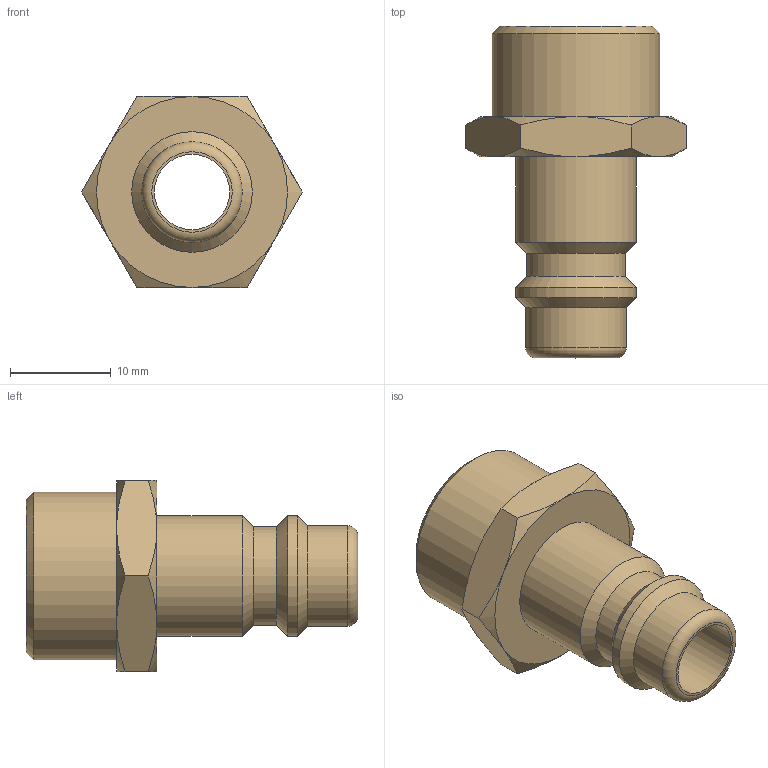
import cadquery as cq
import math

COLLAR_START = 5.0
COLLAR_RIM_START = 6.0
COLLAR_RIM_END = 7.0
NECK_START = 8.1
NECK_END = 10.4
BODY_START = 11.5
HEX_START = 20.0
HEX_THICKNESS = 4.0
HEX_END = HEX_START + HEX_THICKNESS
TOTAL_LENGTH = 33.0

TIP_RADIUS = 5.0
NECK_RADIUS = 4.9
BODY_RADIUS = 6.0
THREAD_RADIUS = 8.33
BORE_RADIUS = 3.75

HEX_SIDES = 6
HEX_ACROSS_FLATS = 19.0
HEX_CHAMFER_ANGLE = 30.0
TIP_FILLET = 1.0
THREAD_CHAMFER = 0.75


def turned_profile():
    """Half section of the nipple and the threaded end, revolved about Y."""
    arc_offset = TIP_FILLET * (1 - math.cos(math.pi / 4))
    return (
        cq.Workplane("XY")
        .moveTo(0, 0)
        .lineTo(TIP_RADIUS - TIP_FILLET, 0)
        .threePointArc((TIP_RADIUS - arc_offset, arc_offset), (TIP_RADIUS, TIP_FILLET))
        .lineTo(TIP_RADIUS, COLLAR_START)
        .lineTo(BODY_RADIUS, COLLAR_RIM_START)
        .lineTo(BODY_RADIUS, COLLAR_RIM_END)
        .lineTo(NECK_RADIUS, NECK_START)
        .lineTo(NECK_RADIUS, NECK_END)
        .lineTo(BODY_RADIUS, BODY_START)
        .lineTo(BODY_RADIUS, HEX_END)
        .lineTo(THREAD_RADIUS, HEX_END)
        .lineTo(THREAD_RADIUS, TOTAL_LENGTH - THREAD_CHAMFER)
        .lineTo(THREAD_RADIUS - THREAD_CHAMFER, TOTAL_LENGTH)
        .lineTo(0, TOTAL_LENGTH)
        .close()
        .revolve(360, (0, 0, 0), (0, 1, 0))
    )


def chamfered_hexagon():
    """Hexagon with flats facing +Z and -Z, its corners turned off by a cone on both faces."""
    flat_radius = HEX_ACROSS_FLATS / 2
    corner_radius = flat_radius / math.cos(math.pi / HEX_SIDES)
    corner_drop = (corner_radius - flat_radius) * math.tan(math.radians(HEX_CHAMFER_ANGLE))

    hexagon = (
        cq.Workplane("XZ", origin=(0, HEX_END, 0))
        .polygon(HEX_SIDES, 2 * corner_radius)
        .extrude(HEX_THICKNESS)
    )
    turning_envelope = (
        cq.Workplane("XY")
        .moveTo(0, HEX_START)
        .lineTo(flat_radius, HEX_START)
        .lineTo(corner_radius, HEX_START + corner_drop)
        .lineTo(corner_radius, HEX_END - corner_drop)
        .lineTo(flat_radius, HEX_END)
        .lineTo(0, HEX_END)
        .close()
        .revolve(360, (0, 0, 0), (0, 1, 0))
    )
    return hexagon.intersect(turning_envelope)


def through_bore():
    """Cylinder running the full length of the part along Y."""
    return (
        cq.Workplane("XZ", origin=(0, TOTAL_LENGTH, 0))
        .circle(BORE_RADIUS)
        .extrude(TOTAL_LENGTH)
    )


result = turned_profile().union(chamfered_hexagon()).cut(through_bore())